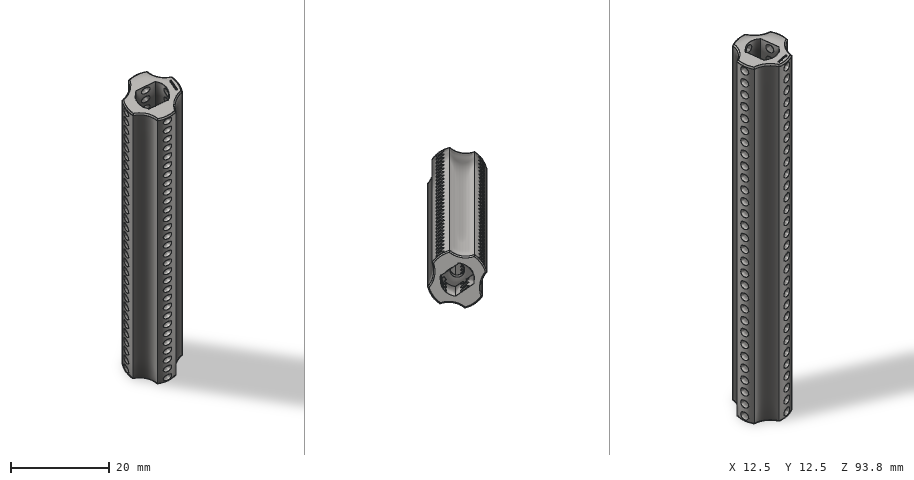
import cadquery as cq
import math

length = 93.75
outer_diameter = 12.5
outer_radius = outer_diameter / 2
chamfer_height = 0.4
chamfer_inset = 0.3

lobe_width = 4.4
flute_floor_radius = 5.0
lobe_angles = (0, 90, 180, 270)

bore_radius = 3.5
bore_width = 5.25

web_top = 10.8
web_thickness = 2.1
web_bottom = web_top - web_thickness
web_hole_diameter = 3.0

web_core_radius = 3.0

hole_count = 30
hole_pitch = length / hole_count
hole_diameter = 2.0

index_slot_length = 2.6
index_slot_width = 0.3
index_slot_depth = 0.3
index_slot_y = 5.1


def on_circle(radius, degrees):
    angle = math.radians(degrees)
    return (radius * math.cos(angle), radius * math.sin(angle))


def make_body():
    corner_angle = math.degrees(math.asin(lobe_width / outer_diameter))
    outline = cq.Workplane("XY").moveTo(*on_circle(outer_radius, -corner_angle))
    for lobe_angle in lobe_angles:
        lobe_end = on_circle(outer_radius, lobe_angle + corner_angle)
        flute_end = on_circle(outer_radius, lobe_angle + 90 - corner_angle)
        outline = outline.threePointArc(on_circle(outer_radius, lobe_angle), lobe_end)
        outline = outline.threePointArc(on_circle(flute_floor_radius, lobe_angle + 45), flute_end)
    body = outline.close().extrude(length)
    return body.faces("<Z or >Z").chamfer(chamfer_height, chamfer_inset)


def make_bore(bottom, top):
    height = top - bottom
    round_bore = cq.Workplane("XY", origin=(0, 0, bottom)).circle(bore_radius).extrude(height)
    between_flats = (
        cq.Workplane("XY", origin=(0, 0, bottom))
        .rect(bore_width, 2 * bore_radius)
        .extrude(height)
    )
    return round_bore.intersect(between_flats)


def make_cross_holes(plane):
    centres = [(0, (i + 0.5) * hole_pitch) for i in range(hole_count)]
    holes = (
        cq.Workplane(plane)
        .pushPoints(centres)
        .circle(hole_diameter / 2)
        .extrude(outer_diameter, both=True)
    )
    web_core = (
        cq.Workplane("XY", origin=(0, 0, web_bottom))
        .circle(web_core_radius)
        .extrude(web_thickness)
    )
    return holes.cut(web_core)


def make_web_hole():
    return (
        cq.Workplane("XY", origin=(0, 0, web_bottom))
        .circle(web_hole_diameter / 2)
        .extrude(web_thickness)
    )


def make_index_slot():
    return (
        cq.Workplane("XY", origin=(0, index_slot_y, length))
        .rect(index_slot_length, index_slot_width)
        .extrude(-index_slot_depth)
    )


result = (
    make_body()
    .cut(make_bore(0, web_bottom))
    .cut(make_bore(web_top, length))
    .cut(make_web_hole())
    .cut(make_cross_holes("XZ"))
    .cut(make_cross_holes("YZ"))
    .cut(make_index_slot())
)